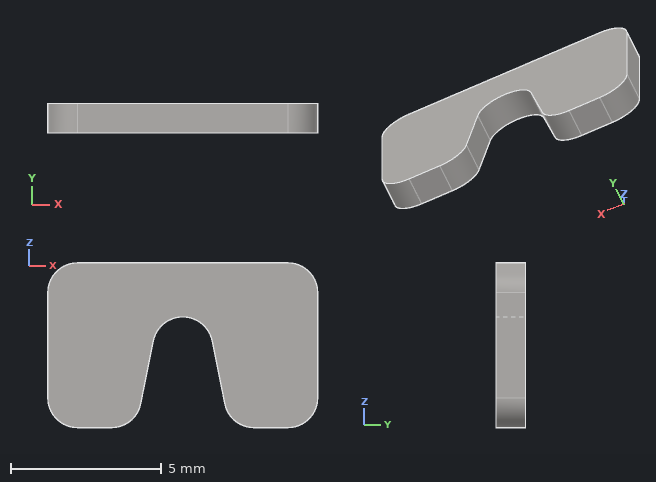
import cadquery as cq
import math

width = 9.0
thickness = 1.0
height = 5.5
corner_radius = 1.0
slot_depth = 3.69
slot_radius = 1.0
wall_tilt = math.radians(11.3)

bottom_z = -height / 2
slot_center_z = bottom_z + slot_depth - slot_radius
tangent_x = slot_radius * math.cos(wall_tilt)
tangent_z = slot_center_z + slot_radius * math.sin(wall_tilt)
mouth_x = tangent_x + (tangent_z - bottom_z) * math.tan(wall_tilt)


def make_plate():
    """Upright plate with the flared slot open at its bottom edge."""
    return (
        cq.Workplane("XZ")
        .moveTo(-width / 2, bottom_z)
        .lineTo(-mouth_x, bottom_z)
        .lineTo(-tangent_x, tangent_z)
        .threePointArc((0, slot_center_z + slot_radius), (tangent_x, tangent_z))
        .lineTo(mouth_x, bottom_z)
        .lineTo(width / 2, bottom_z)
        .lineTo(width / 2, height / 2)
        .lineTo(-width / 2, height / 2)
        .close()
        .extrude(thickness / 2, both=True)
    )


def round_corners(plate):
    """Round the four outer corners and the two corners of the slot mouth."""
    return plate.edges("|Y and (<Z or >Z)").fillet(corner_radius)


result = round_corners(make_plate())